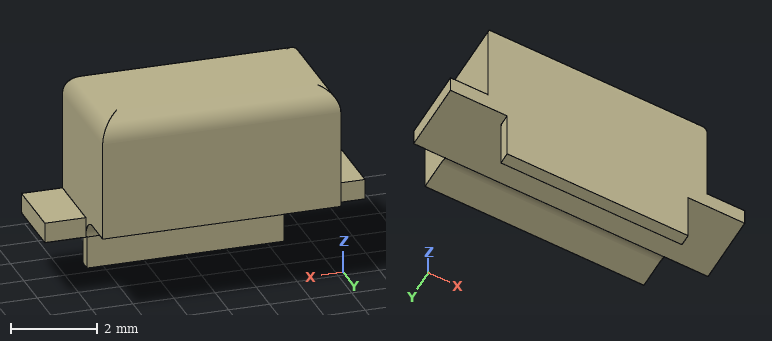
import cadquery as cq

overall_length = 7.8
body_length = 5.8
body_depth = 3.0
body_height = 3.0
crown_radius = 0.6
tab_depth = 1.75
tab_thickness = 0.5
leg_length = 4.8
leg_thickness = 0.3
leg_height = 1.5

front_y = -body_depth / 2
tab_back_y = front_y + tab_depth


def crowned_prism(plane, width, length):
    """Prism along the plane normal with its two top edges rounded."""
    return (
        cq.Workplane(plane)
        .rect(width, body_height)
        .extrude(length / 2, both=True)
        .edges(">Z")
        .edges("|X" if plane == "YZ" else "|Y")
        .fillet(crown_radius)
        .translate((0, 0, body_height / 2))
    )


def make_body():
    """Crossing two rounded prisms gives a crown with mitred corners."""
    along_y = crowned_prism("XZ", body_length, body_depth)
    along_x = crowned_prism("YZ", body_depth, body_length)
    return along_y.intersect(along_x)


def block(length, depth, height, top_z):
    """Block centred in X, flush with the front face, hanging below top_z."""
    return (
        cq.Workplane("XY", origin=(0, front_y + depth / 2, top_z))
        .rect(length, depth)
        .extrude(-height)
    )


def make_cove():
    """Concave fillet between the body underside and the back of the tab bar."""
    cove_back_y = tab_back_y + tab_thickness
    return (
        cq.Workplane("YZ")
        .moveTo(tab_back_y, 0)
        .lineTo(cove_back_y, 0)
        .radiusArc((tab_back_y, -tab_thickness), -tab_thickness)
        .close()
        .extrude(body_length / 2, both=True)
    )


tab_bar = block(overall_length, tab_depth, tab_thickness, 0)
leg = block(leg_length, leg_thickness, leg_height, -tab_thickness)

result = make_body().union(tab_bar).union(make_cove()).union(leg).clean()